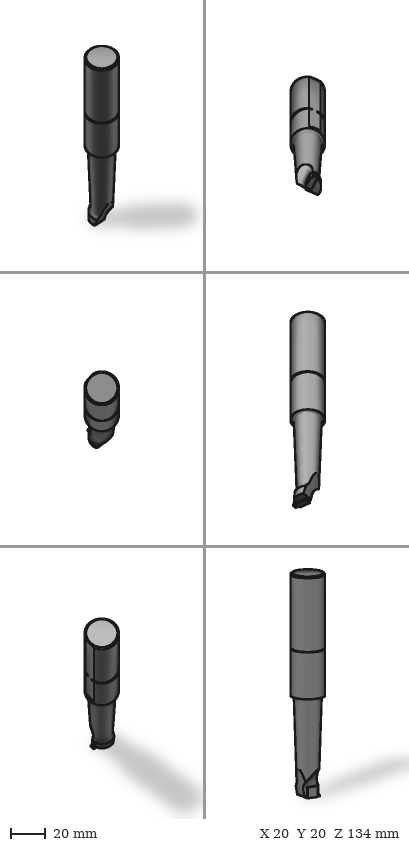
import cadquery as cq
import math

TOTAL_LENGTH = 134.0

SHANK_RADIUS = 20.0 / 2
SHANK_BOTTOM_Z = 61.1
SHANK_CHAMFER = 1.0
FLAT_DEPTH = 0.7
FLAT_BOTTOM_Z = 63.3
GROOVE_Z = 89.1
GROOVE_DEPTH = 0.5
GROOVE_WIDTH = 0.3

NECK_TOP_RADIUS = 8.2
NECK_BOTTOM_RADIUS = 6.6
NECK_BOTTOM_Z = 10.0
SHOULDER_FILLET = 1.2

HEAD_RADIUS = 7.8
HEAD_BOTTOM_Z = 1.1
HEAD_TOP_Z = 6.5
HEAD_CONE_TOP_Z = 7.6
HEAD_CONE_TOP_RADIUS = 7.2

RELIEF_BOTTOM_X = 2.1
RELIEF_ANGLE = 15.0

POCKET_CORNER_Z = 8.2
POCKET_WALL_ANGLE = 37.0
POCKET_RADIUS = 6.0
POCKET_TILT = 36.0

INSERT_TOP_Z = 6.7
INSERT_BACK_Y = -2.5
INSERT_FACE_Y = 1.2
INSERT_SIDE_X = -7.8
INSERT_INNER_X = 0.7
INSERT_INNER_Z = 0.3
NOSE_TOP_Z = 1.6
NOSE_EDGE = (-8.7, 0.4)
NOSE_TIP = (-8.5, 0.0)
RAKE_LAND_Y = 0.0
RAKE_START_X = -7.2
RAKE_END_X = -6.0

CLEARANCE = 26.8


def turned_blank():
    """Shank, tapered neck and head as one turned profile."""
    shank_edge = SHANK_RADIUS - SHANK_CHAMFER
    neck_top_z = SHANK_BOTTOM_Z - SHOULDER_FILLET
    fillet_offset = SHOULDER_FILLET * (1 - math.sqrt(0.5))
    profile = (
        cq.Workplane("XZ")
        .moveTo(0, TOTAL_LENGTH)
        .lineTo(shank_edge, TOTAL_LENGTH)
        .lineTo(SHANK_RADIUS, TOTAL_LENGTH - SHANK_CHAMFER)
        .lineTo(SHANK_RADIUS, SHANK_BOTTOM_Z)
        .lineTo(NECK_TOP_RADIUS + SHOULDER_FILLET, SHANK_BOTTOM_Z)
        .threePointArc(
            (NECK_TOP_RADIUS + fillet_offset, SHANK_BOTTOM_Z - fillet_offset),
            (NECK_TOP_RADIUS, neck_top_z),
        )
        .lineTo(NECK_BOTTOM_RADIUS, NECK_BOTTOM_Z)
        .tangentArcPoint((HEAD_CONE_TOP_RADIUS, HEAD_CONE_TOP_Z), relative=False)
        .lineTo(HEAD_RADIUS, HEAD_TOP_Z)
        .lineTo(HEAD_RADIUS, HEAD_BOTTOM_Z)
        .lineTo(0, HEAD_BOTTOM_Z)
        .close()
    )
    return profile.revolve(360, (0, 0, 0), (0, 1, 0))


def shank_groove():
    """Narrow ring groove around the shank."""
    return (
        cq.Workplane("XY", origin=(0, 0, GROOVE_Z - GROOVE_WIDTH / 2))
        .circle(SHANK_RADIUS + CLEARANCE)
        .circle(SHANK_RADIUS - GROOVE_DEPTH)
        .extrude(GROOVE_WIDTH)
    )


def shank_flat():
    """Clamping flat on the -X side, open at the top of the shank."""
    flat_x = FLAT_DEPTH - SHANK_RADIUS
    return (
        cq.Workplane("XY", origin=(flat_x - CLEARANCE, 0, FLAT_BOTTOM_Z))
        .box(CLEARANCE, 2 * CLEARANCE, TOTAL_LENGTH, centered=(False, True, False))
    )


def tip_relief():
    """Wedge that slants the +X side of the head and lower neck."""
    run = math.tan(math.radians(RELIEF_ANGLE)) * CLEARANCE
    return (
        cq.Workplane("XZ", origin=(0, CLEARANCE, HEAD_BOTTOM_Z))
        .polyline([
            (RELIEF_BOTTOM_X, 0),
            (RELIEF_BOTTOM_X + run, CLEARANCE),
            (RELIEF_BOTTOM_X + CLEARANCE, CLEARANCE),
            (RELIEF_BOTTOM_X + CLEARANCE, 0),
        ])
        .close()
        .extrude(2 * CLEARANCE)
    )


def chip_pocket():
    """Half-section pocket whose floor blends through an arc into the tilted run-out wall."""
    wall = math.radians(POCKET_WALL_ANGLE)
    turn = math.pi / 2 - wall
    tangent = POCKET_RADIUS * math.tan(turn / 2)
    blend_start_z = POCKET_CORNER_Z - tangent
    blend_end = (tangent * math.cos(wall), POCKET_CORNER_Z + tangent * math.sin(wall))
    return (
        cq.Workplane("YZ", origin=(-CLEARANCE, 0, 0))
        .moveTo(0, -CLEARANCE)
        .lineTo(0, blend_start_z)
        .tangentArcPoint(blend_end, relative=False)
        .lineTo(CLEARANCE, POCKET_CORNER_Z + CLEARANCE * math.tan(wall))
        .lineTo(CLEARANCE, -CLEARANCE)
        .close()
        .extrude(2 * CLEARANCE)
        .rotate((0, 0, 0), (0, 1, 0), POCKET_TILT)
    )


def make_insert():
    """Cutting insert with a pointed nose and a rake face that steps up behind its edge."""
    plate = (
        cq.Workplane("XZ", origin=(0, INSERT_FACE_Y, 0))
        .polyline([
            (INSERT_SIDE_X, INSERT_TOP_Z),
            (INSERT_SIDE_X, NOSE_TOP_Z),
            NOSE_EDGE,
            NOSE_TIP,
            (INSERT_INNER_X, INSERT_INNER_Z),
            (INSERT_INNER_X, INSERT_TOP_Z),
        ])
        .close()
        .extrude(INSERT_FACE_Y - INSERT_BACK_Y)
    )
    rake_cut = (
        cq.Workplane("XY")
        .polyline([
            (NOSE_EDGE[0], RAKE_LAND_Y),
            (RAKE_START_X, RAKE_LAND_Y),
            (RAKE_END_X, INSERT_FACE_Y),
            (NOSE_EDGE[0], INSERT_FACE_Y),
        ])
        .close()
        .extrude(INSERT_TOP_Z)
    )
    return plate.cut(rake_cut)


def make_bar(seated_insert):
    """Bar with its shank features, chip pocket and a seat matching the insert."""
    return (
        turned_blank()
        .cut(shank_groove())
        .cut(shank_flat())
        .cut(tip_relief())
        .cut(chip_pocket())
        .cut(seated_insert)
    )


insert = make_insert()
bar = make_bar(insert)
result = cq.Compound.makeCompound([bar.val(), insert.val()])